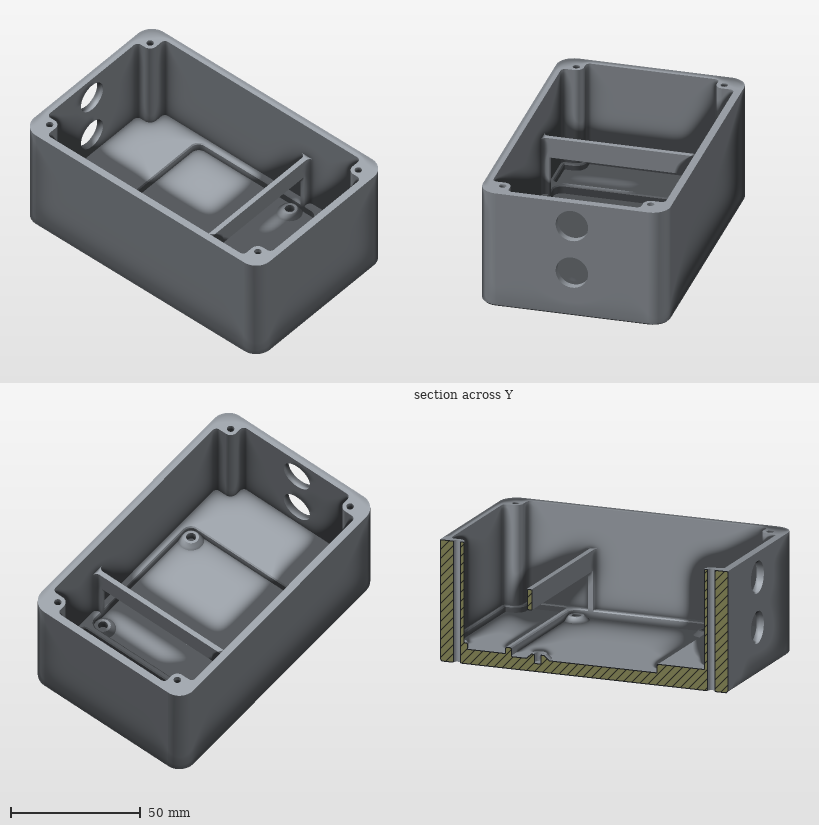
import cadquery as cq

length = 120.0
width = 75.0
height = 48.6
corner_radius = 7.0
base_chamfer = 0.7

wall = 3.0
cavity_length = length - 2 * wall
cavity_width = width - 2 * wall
cavity_floor = 8.5
inner_fillet = 1.8
post_x = 53.0
post_y = 29.5
post_radius = 3.0
screw_hole_diameter = 2.9

main_pocket_floor = 5.0
end_pocket_floor = 6.0
pocket_chamfer = 0.5
main_pocket_length = 61.1
main_pocket_width = 63.2
main_pocket_radius = 3.5
end_pocket_start = 32.9
end_pocket_margin = 1.5
end_pocket_radius = 2.0

standoff_centers = [(-27.0, -28.1), (27.1, -28.1), (19.3, 28.1)]
standoff_diameter = 6.0
standoff_flare = 2.0
standoff_height = 1.9
standoff_hole_diameter = 3.8
standoff_hole_depth = 3.6

rib_start = 21.7
rib_thickness = 2.0
rib_blend = 2.0
rib_top = 32.6
window_top = 24.4
window_width = main_pocket_width

cable_hole_diameter = 13.0
cable_hole_heights = [18.6, 38.6]


def box_between(x_range, y_range, z_range):
    """Box filling the given span on each axis."""
    sizes = [high - low for low, high in (x_range, y_range, z_range)]
    corner = (x_range[0], y_range[0], z_range[0])
    return cq.Workplane("XY").box(*sizes, centered=False).translate(corner)


def cavity_prism(margin, bottom):
    """Cavity shape, shrunk by a margin, from a bottom level up to the rim."""
    x_wall = cavity_length / 2 - margin
    y_wall = cavity_width / 2 - margin
    bulge_radius = post_radius + margin
    x_post = post_x - bulge_radius
    y_post = post_y - bulge_radius
    levels = (bottom, height)
    lengthwise = box_between((-x_wall, x_wall), (-y_post, y_post), levels)
    crosswise = box_between((-x_post, x_post), (-y_wall, y_wall), levels)
    post_edges = cq.selectors.BoxSelector((-post_x, -post_y, 0), (post_x, post_y, height))
    wall_edges = cq.selectors.InverseSelector(post_edges)
    prism = lengthwise.union(crosswise)
    prism = prism.edges("|Z").edges(wall_edges).fillet(inner_fillet - margin)
    return prism.edges("|Z").edges(post_edges).fillet(bulge_radius)


def body():
    """Block with rounded upright corners and a chamfered base edge."""
    block = cq.Workplane("XY").box(length, width, height, centered=(True, True, False))
    return block.edges("|Z").fillet(corner_radius).faces("<Z").chamfer(base_chamfer)


def main_pocket():
    """Rounded recess around the stand-offs."""
    return (
        cq.Workplane("XY", origin=(0, 0, main_pocket_floor))
        .rect(main_pocket_length, main_pocket_width)
        .extrude(cavity_floor - main_pocket_floor)
        .edges("|Z")
        .fillet(main_pocket_radius)
    )


def end_pocket():
    """Recess at the +X end that follows the cavity wall and its posts."""
    region = box_between(
        (end_pocket_start, length), (-width, width), (end_pocket_floor, cavity_floor)
    )
    pocket = cavity_prism(end_pocket_margin, end_pocket_floor).intersect(region)
    return pocket.edges("|Z and <X").fillet(end_pocket_radius)


def standoff():
    """Short pillar with a flared foot, at the origin."""
    radius = standoff_diameter / 2
    return (
        cq.Workplane("XZ")
        .lineTo(radius + standoff_flare, 0)
        .lineTo(radius, standoff_height)
        .lineTo(0, standoff_height)
        .close()
        .revolve()
    )


def standoff_hole():
    """Blind hole sunk from the top of a stand-off at the origin."""
    return (
        cq.Workplane("XY", origin=(0, 0, standoff_height - standoff_hole_depth))
        .circle(standoff_hole_diameter / 2)
        .extrude(standoff_hole_depth)
    )


def rib():
    """Cross rib with a window, its ends blended into the side walls."""
    wall_y = cavity_width / 2
    rib_end = rib_start + rib_thickness
    rib_middle = rib_start + rib_thickness / 2
    half_window = window_width / 2
    plate = box_between((rib_start, rib_end), (-wall_y, wall_y), (main_pocket_floor, rib_top))
    window = box_between(
        (rib_start, rib_end), (-half_window, half_window), (main_pocket_floor, window_top)
    )
    blend = (
        cq.Workplane("XY", origin=(rib_start, wall_y, cavity_floor))
        .lineTo(-rib_blend, 0)
        .radiusArc((0, -rib_blend), rib_blend)
        .close()
        .extrude(rib_top - cavity_floor)
    )
    blend = blend.union(blend.mirror("YZ", (rib_middle, 0, 0)))
    blend = blend.union(blend.mirror("XZ"))
    return plate.cut(window).union(blend)


def cable_holes():
    """Round openings through the -X end wall."""
    return (
        cq.Workplane("YZ", origin=(-length / 2, 0, 0))
        .pushPoints([(0, z) for z in cable_hole_heights])
        .circle(cable_hole_diameter / 2)
        .extrude(2 * wall)
    )


def chamfer_pocket_rims(part):
    """Chamfer the edges that the pockets leave on the cavity floor."""
    floor_point = (-cavity_length / 2, 0, cavity_floor)
    floor_face = part.faces("|Z").faces(cq.selectors.NearestToPointSelector(floor_point))
    rims = [edge for wire in floor_face.val().innerWires() for edge in wire.Edges()]
    return part.newObject(rims).chamfer(pocket_chamfer)


def screw_holes():
    """Through holes along the axes of the corner posts."""
    return (
        cq.Workplane("XY")
        .rect(2 * post_x, 2 * post_y, forConstruction=True)
        .vertices()
        .circle(screw_hole_diameter / 2)
        .extrude(height)
    )


result = body().cut(cavity_prism(0, cavity_floor))
result = result.cut(main_pocket()).cut(end_pocket())
result = chamfer_pocket_rims(result)

for x, y in standoff_centers:
    position = (x, y, main_pocket_floor)
    foot = standoff().translate(position).intersect(main_pocket())
    result = result.union(foot).cut(standoff_hole().translate(position))

result = result.union(rib()).cut(cable_holes()).cut(screw_holes())